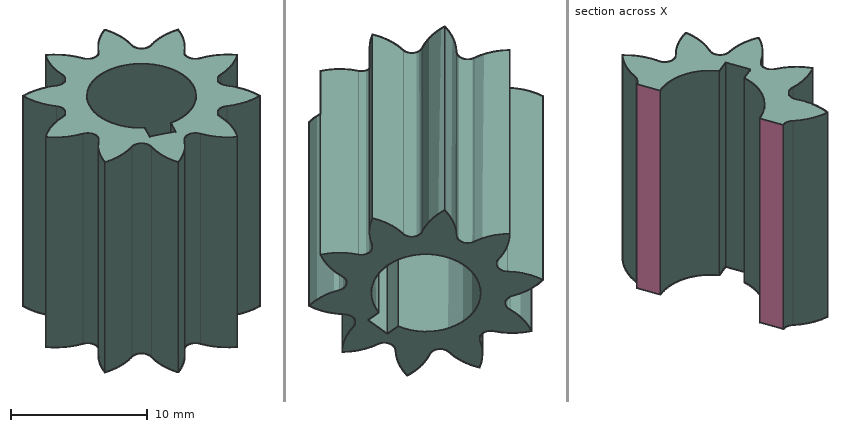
import cadquery as cq
import math

length = 19.05
tooth_count = 10
tip_diameter = 17.35
tip_radius = tip_diameter / 2

flank_foot = (6.23, 1.28)
flank_middle = (7.62, 0.78)

bore_radius = 4.0
keyway_width = 2.0
keyway_depth = 5.0

tooth_pitch = 360 / tooth_count


def turned(point, degrees):
    """Rotate a point about the gear axis."""
    angle = math.radians(degrees)
    x, y = point
    return (
        x * math.cos(angle) - y * math.sin(angle),
        x * math.sin(angle) + y * math.cos(angle),
    )


def gear_outline():
    """Closed tooth outline: falling flank, root arc and rising flank per pitch."""
    tip = (tip_radius, 0)
    opposite_foot = (flank_foot[0], -flank_foot[1])
    outline = cq.Workplane("XY").moveTo(*tip)
    for tooth in range(tooth_count):
        here = tooth * tooth_pitch
        following = here + tooth_pitch
        outline = outline.threePointArc(turned(flank_middle, here), turned(flank_foot, here))
        outline = outline.tangentArcPoint(turned(opposite_foot, following), relative=False)
        outline = outline.tangentArcPoint(turned(tip, following), relative=False)
    return outline.close()


gear = gear_outline().extrude(length)
bore = cq.Workplane("XY").circle(bore_radius).extrude(length)
keyway = (
    cq.Workplane("XY")
    .rect(keyway_depth, keyway_width)
    .extrude(length)
    .translate((keyway_depth / 2, 0, 0))
)

result = gear.cut(bore.union(keyway))